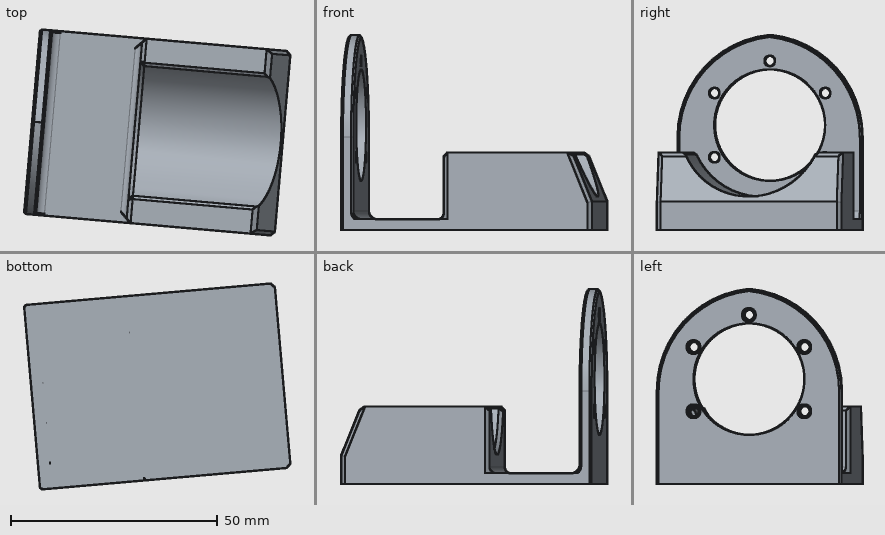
import cadquery as cq
import math

length = 61.1
width = 45.0
half_width = width / 2
turn_angle = -5
base_thickness = 2.65
overlap = 0.65

plate_thickness = 3.0
arch_start_height = 22.55
plate_height = 47.4
plate_chamfer = 0.5
plate_fillet_radius = 2.0

axis_height = 25.5
bore_diameter = 27.0
screw_diameter = 2.5
screw_countersink_diameter = 3.35
screw_circle_radius = 15.6
screw_angles = [-30, 30, 90, 150, 210]

block_start = 24.95
block_height = 18.9
block_chamfer = 1.05
block_fillet_radius = 1.55
cradle_radius = 17.3
cradle_lip_chamfer = 0.6
end_face_height = 6.9
end_slope_run = 4.85
slope_top = length - end_slope_run


def arched_plate():
    rise = plate_height - arch_start_height
    arc_offset = (rise**2 - half_width**2) / (2 * half_width)
    arc_radius = half_width + arc_offset
    mid_angle = math.atan2(rise, arc_offset) / 2
    mid_y = arc_radius * math.cos(mid_angle) - arc_offset
    mid_z = arch_start_height + arc_radius * math.sin(mid_angle)
    plate = (
        cq.Workplane("YZ")
        .moveTo(-half_width, 0)
        .lineTo(half_width, 0)
        .lineTo(half_width, arch_start_height)
        .threePointArc((mid_y, mid_z), (0, plate_height))
        .threePointArc((-mid_y, mid_z), (-half_width, arch_start_height))
        .close()
        .extrude(plate_thickness)
    )
    return plate.faces("|X").edges("not(<Z)").chamfer(plate_chamfer)


def base_floor():
    floor_length = block_start + block_chamfer + overlap - plate_chamfer
    return (
        cq.Workplane("XY", origin=(plate_chamfer, 0, 0))
        .box(floor_length, width, base_thickness, centered=(False, True, False))
    )


def fillet_strip(face_x, direction, radius, root_depth):
    toe_x = face_x + direction * radius
    root_x = face_x - direction * root_depth
    arc_inset = radius * (1 - math.sqrt(0.5))
    return (
        cq.Workplane("XZ")
        .moveTo(root_x, base_thickness)
        .lineTo(toe_x, base_thickness)
        .threePointArc(
            (face_x + direction * arc_inset, base_thickness + arc_inset),
            (face_x, base_thickness + radius),
        )
        .lineTo(root_x, base_thickness + radius)
        .close()
        .extrude(half_width, both=True)
    )


def plate_fillet():
    strip = fillet_strip(plate_thickness, 1, plate_fillet_radius, plate_chamfer)
    center_x = plate_thickness + plate_fillet_radius
    center_z = base_thickness + plate_fillet_radius
    for side in (-1, 1):
        bevel = cq.Solid.makeCone(
            plate_fillet_radius + plate_chamfer,
            plate_fillet_radius,
            plate_chamfer,
            cq.Vector(center_x, side * half_width, center_z),
            cq.Vector(0, -side, 0),
        )
        strip = strip.cut(cq.Workplane(bevel))
    return strip


def block_fillet():
    strip = fillet_strip(block_start, -1, block_fillet_radius, block_chamfer)
    toe_x = block_start - block_fillet_radius
    root_x = block_start + block_chamfer
    toe_half_width = half_width - block_chamfer - block_fillet_radius
    footprint = (
        cq.Workplane("XY")
        .polyline([
            (root_x, -half_width),
            (toe_x, -toe_half_width),
            (toe_x, toe_half_width),
            (root_x, half_width),
        ])
        .close()
        .extrude(block_height)
    )
    return strip.intersect(footprint)


def cradle_block():
    block = (
        cq.Workplane("XZ")
        .moveTo(block_start, 0)
        .lineTo(length, 0)
        .lineTo(length, end_face_height)
        .lineTo(slope_top, block_height)
        .lineTo(block_start, block_height)
        .close()
        .extrude(half_width, both=True)
    )
    slope_direction = cq.Vector(end_slope_run, 0, end_face_height - block_height)
    slope_edges = cq.selectors.ParallelDirSelector(slope_direction)
    end_edges = block.faces(">X").edges("|Z")
    top_edge = block.faces(">Z").edges(">X")
    block = end_edges.add(block.edges(slope_edges)).add(top_edge).chamfer(block_chamfer)

    trough = (
        cq.Workplane("YZ", origin=(block_start - overlap, 0, axis_height))
        .circle(cradle_radius)
        .extrude(length)
    )
    block = block.cut(trough)
    inner_lips = cq.selectors.BoxSelector(
        (block_start, -cradle_radius, block_height - overlap),
        (length, cradle_radius, block_height + overlap),
    )
    block = block.faces(">Z").edges("|X").edges(inner_lips).chamfer(cradle_lip_chamfer)
    return block.faces("<X").edges("not(<Z)").chamfer(block_chamfer)


def bore():
    return cq.Workplane("YZ", origin=(0, 0, axis_height)).circle(bore_diameter / 2).extrude(plate_thickness)


def screw_hole(angle):
    y = screw_circle_radius * math.cos(math.radians(angle))
    z = axis_height + screw_circle_radius * math.sin(math.radians(angle))
    screw_radius = screw_diameter / 2
    sink_radius = screw_countersink_diameter / 2
    return (
        cq.Workplane("XY", origin=(0, y, z))
        .lineTo(0, sink_radius)
        .lineTo(sink_radius - screw_radius, screw_radius)
        .lineTo(plate_thickness, screw_radius)
        .lineTo(plate_thickness, 0)
        .close()
        .revolve(360, (0, 0, 0), (1, 0, 0))
    )


result = (
    arched_plate()
    .union(base_floor())
    .union(cradle_block())
    .union(plate_fillet())
    .union(block_fillet())
    .cut(bore())
)
for screw_angle in screw_angles:
    result = result.cut(screw_hole(screw_angle))

result = result.rotate((0, 0, 0), (0, 0, 1), turn_angle)